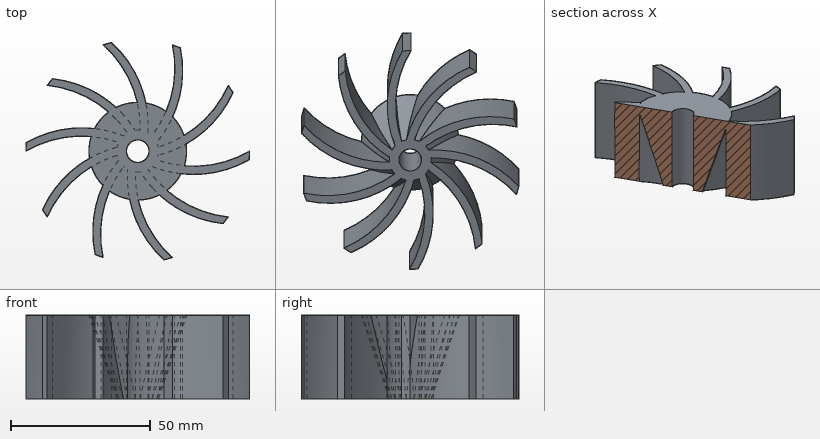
import cadquery as cq
import math

height = 30.0
hub_top_radius = 17.5
hub_bottom_radius = 7.5
bore_diameter = 8.0

blade_count = 10
blade_pitch_angle = 360 / blade_count
tip_radius = 40.0
blade_width = 3.0
blade_arc_radius = 40.0

half_chord = tip_radius / 2
arc_rise = blade_arc_radius - math.sqrt(blade_arc_radius**2 - half_chord**2)


def make_hub():
    profile = [(0, 0), (hub_bottom_radius, 0), (hub_top_radius, height), (0, height)]
    return cq.Workplane("XZ").polyline(profile).close().revolve(360, (0, 0), (0, 1))


def make_blade():
    strip = (
        cq.Workplane("XY")
        .moveTo(-tip_radius, 0)
        .threePointArc((-half_chord, arc_rise), (0, 0))
        .lineTo(0, blade_width)
        .threePointArc((-half_chord, arc_rise + blade_width), (-tip_radius, blade_width))
        .close()
        .extrude(height)
    )
    tip_cylinder = cq.Workplane("XY").circle(tip_radius).extrude(height)
    return strip.intersect(tip_cylinder)


def make_bore():
    return cq.Workplane("XY").circle(bore_diameter / 2).extrude(height)


def make_impeller():
    impeller = make_hub()
    blade = make_blade()
    for index in range(blade_count):
        turned_blade = blade.rotate((0, 0, 0), (0, 0, 1), index * blade_pitch_angle)
        impeller = impeller.union(turned_blade)
    return impeller.cut(make_bore())


result = make_impeller()